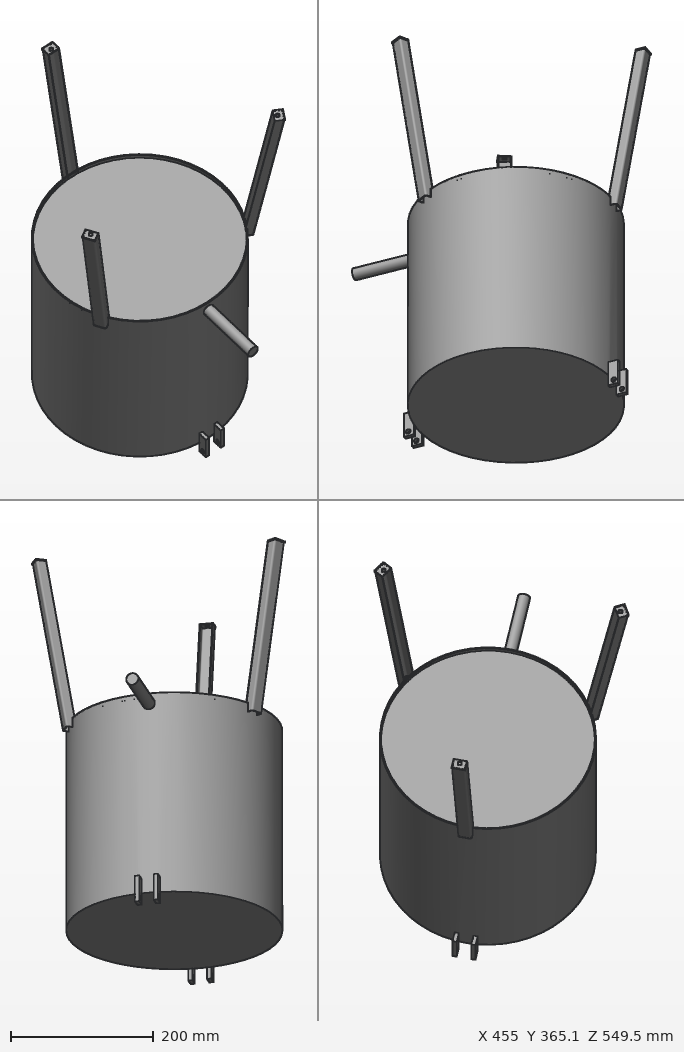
import cadquery as cq
import math

drum_radius = 151.5
drum_bottom = 17.0
drum_height = 299.5
drum_top = drum_bottom + drum_height
rim_wall = 1.9
rim_depth = 6.0

lug_reach = 166.0
lug_height = 38.5
lug_thickness = 6.0
lug_gap = 21.0
lug_y = (lug_gap + lug_thickness) / 2
lug_hole_diameter = 7.0
lug_hole_x = 159.5
lug_hole_z = 7.0

pipe_diameter = 17.5
pipe_end = 250.0
pipe_axis_drop = 15.5
pipe_axis_z = drum_top - pipe_axis_drop

leg_count = 3
first_leg_angle = 180
leg_top = 549.5
leg_overlap = 14.0
leg_bottom = drum_top - leg_overlap
leg_lean = math.radians(10.2)
leg_reach = 205.0
leg_width = 20.0
leg_wall = 1.4
leg_bend_radius = 3.0
cap_depth = 15.0
leg_depth = cap_depth * math.cos(leg_lean)
cap_thickness = 1.5
cap_hole_diameter = 6.0
cap_hole_inset = 9.5


def make_drum_blank():
    """The plain cylinder that the other bodies rest against."""
    return cq.Workplane("XY", origin=(0, 0, drum_bottom)).circle(drum_radius).extrude(drum_height)


def make_lug(x_side, y_side):
    """One drilled plate, rooted where its outer face meets the drum surface."""
    root = math.sqrt(drum_radius**2 - (lug_y + lug_thickness / 2) ** 2)
    length = lug_reach - root
    center = (x_side * (root + length / 2), y_side * lug_y, lug_height / 2)
    plate = cq.Workplane("XY", origin=center).box(length, lug_thickness, lug_height)
    hole = (
        cq.Workplane("XZ", origin=(x_side * lug_hole_x, y_side * lug_y, lug_hole_z))
        .circle(lug_hole_diameter / 2)
        .extrude(lug_thickness, both=True)
    )
    return plate.cut(hole)


def make_drum():
    """Drum with its top recess and the four lugs."""
    recess = (
        cq.Workplane("XY", origin=(0, 0, drum_top - rim_depth))
        .circle(drum_radius - rim_wall)
        .extrude(rim_depth)
    )
    drum = make_drum_blank().cut(recess)
    for x_side in (-1, 1):
        for y_side in (-1, 1):
            drum = drum.union(make_lug(x_side, y_side))
    return drum


def make_pipe():
    """Round pipe whose inner end follows the drum surface."""
    pipe = (
        cq.Workplane("YZ", origin=(0, 0, pipe_axis_z))
        .circle(pipe_diameter / 2)
        .extrude(pipe_end)
    )
    return pipe.cut(make_drum_blank())


def u_section(plane, inset):
    """Outline open toward the drum axis, rounded at its two outer corners."""
    half_width = leg_width / 2 - inset
    bend = leg_bend_radius - inset
    mid_bend = bend * (1 - math.sqrt(0.5))
    return (
        cq.Workplane(plane)
        .moveTo(-leg_depth, -half_width)
        .lineTo(-inset - bend, -half_width)
        .threePointArc((-inset - mid_bend, -half_width + mid_bend), (-inset, -half_width + bend))
        .lineTo(-inset, half_width - bend)
        .threePointArc((-inset - mid_bend, half_width - mid_bend), (-inset - bend, half_width))
        .lineTo(-leg_depth, half_width)
        .close()
    )


def make_channel():
    """Channel leaning outward toward +X, trimmed level at the foot and under the cap."""
    height = leg_top - leg_bottom
    section_plane = cq.Plane(
        origin=(leg_reach - height * math.tan(leg_lean), 0, leg_bottom),
        xDir=(math.cos(leg_lean), 0, -math.sin(leg_lean)),
        normal=(math.sin(leg_lean), 0, math.cos(leg_lean)),
    )
    slant_length = height / math.cos(leg_lean) + leg_depth
    outside = u_section(section_plane, 0).extrude(slant_length, both=True)
    inside = u_section(section_plane, leg_wall).extrude(slant_length, both=True)
    level_slab = (
        cq.Workplane("XY", origin=(0, 0, leg_bottom))
        .rect(2 * leg_reach, 2 * leg_width)
        .extrude(height - cap_thickness)
    )
    return outside.cut(inside).intersect(level_slab)


def make_cap():
    """Level square-cornered plate with a hole, closing the top of a channel."""
    return (
        cq.Workplane("XY", origin=(leg_reach - cap_depth / 2, 0, leg_top - cap_thickness))
        .rect(cap_depth, leg_width)
        .extrude(cap_thickness)
        .faces(">Z")
        .workplane()
        .center(cap_depth / 2 - cap_hole_inset, 0)
        .hole(cap_hole_diameter)
    )


def make_leg(angle):
    """Capped channel, its foot shaped to the drum surface, turned to its place."""
    leg = make_channel().union(make_cap()).cut(make_drum_blank())
    return leg.rotate((0, 0, 0), (0, 0, 1), angle)


drum = make_drum()
pipe = make_pipe()
legs = [make_leg(first_leg_angle + i * 360 / leg_count) for i in range(leg_count)]

result = cq.Compound.makeCompound([drum.val(), pipe.val(), *[leg.val() for leg in legs]])